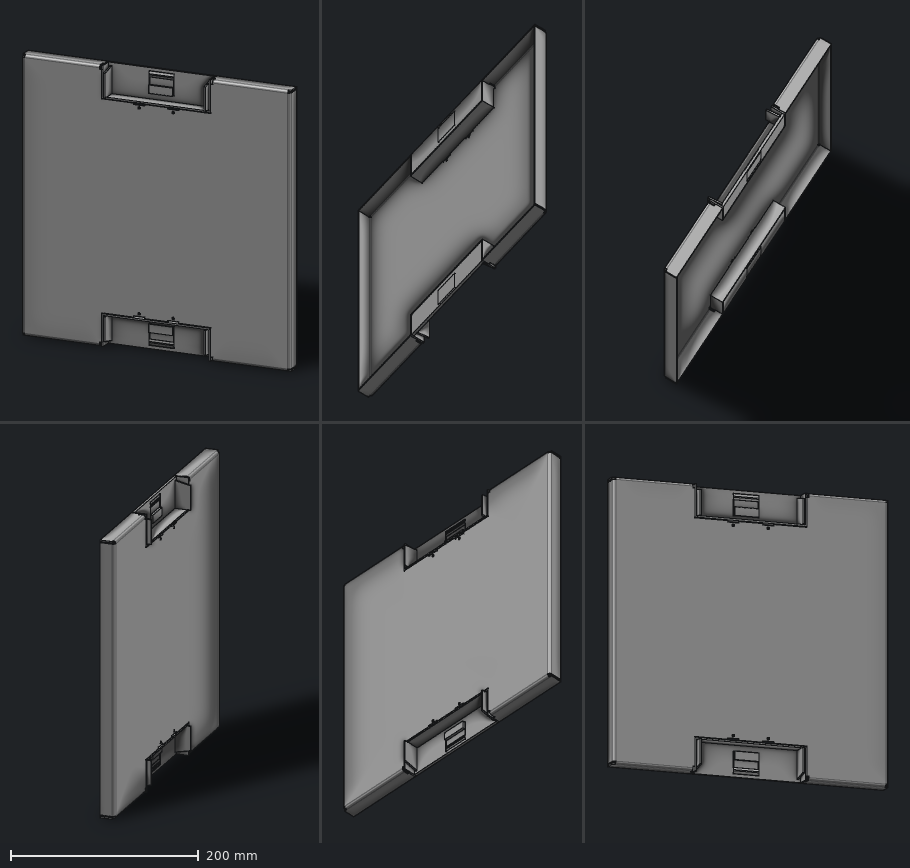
import cadquery as cq

size = 314.0
half = size / 2
depth = 17.0
sheet = 2.0
bend = 2.98

recess_half_width = 63.7
recess_height = 37.5
clearance = 0.5
frame_height = recess_height - clearance
inner_half_width = recess_half_width - sheet
inner_height = frame_height - sheet

relief_width = 2.2
relief_height = 4.7
relief_depth = 8.0

slot_spacing = 40.0
slot_width = 13.0
slot_height = 1.5
hole_diameter = 2.5
hole_offset = 42.0

floor = 3.0
fin_outer = 59.7
fin_thickness = sheet
fin_reach = 21.0
fin_root_offset = 3.5
fin_tip_offset = 7.2

window_width = 29.2
window_start = 3.8
window_end = 28.3
ridge_start = 7.0
ridge_end = 8.2
pad_start = 10.7
grip_start = 18.8
pad_width = 27.5
ramp_drop = 1.5
base_drop = 1.0
pad_drop = 0.5
grip_rise = 2.2


def block(x_range, y_range, z_range):
    """Box between the given limits on each axis."""
    (x0, x1), (y0, y1), (z0, z1) = x_range, y_range, z_range
    return cq.Workplane("XY").box(x1 - x0, y1 - y0, z1 - z0, centered=False).translate((x0, y0, z0))


def extrude_along_x(points, x_start, x_end):
    """Solid from an outline of (y, z) points."""
    return cq.Workplane("YZ", origin=(x_start, 0, 0)).polyline(points).close().extrude(x_end - x_start)


def flip(body):
    """Copy for the bottom edge of a body made for the top edge."""
    return body.mirror("XY")


def make_bent_tray():
    outer = cq.Workplane("XZ").rect(size, size).extrude(depth).faces("<Y").edges().fillet(bend)
    cavity_size = size - 2 * sheet
    cavity = cq.Workplane("XZ").rect(cavity_size, cavity_size).extrude(depth - sheet)
    cavity = cavity.faces("<Y").edges().fillet(bend - sheet)
    return outer.cut(cavity)


def corner_cuts():
    """Square notches in the bends and seams at the ends of the side flanges."""
    bend_start = depth - bend
    cuts = cq.Workplane("XY")
    for x_sign in (-1, 1):
        for z_sign in (-1, 1):
            notch = (
                cq.Workplane("XZ", origin=(0, -bend_start, 0))
                .center(x_sign * (half - bend / 2), z_sign * (half - bend / 2))
                .rect(bend, bend)
                .extrude(bend)
            )
            seam = (
                cq.Workplane("XZ")
                .center(x_sign * (half - bend / 2), z_sign * (half - (sheet + bend) / 2))
                .rect(bend, bend - sheet)
                .extrude(bend_start)
            )
            cuts = cuts.add(notch).add(seam)
    return cuts.combine()


def recess_cuts():
    """Opening, bend reliefs, slots and holes of the top recess."""
    opening = block(
        (-recess_half_width, recess_half_width), (-depth, 0), (half - recess_height, half)
    )
    relief_edge = recess_half_width + relief_width
    reliefs = block((-relief_edge, relief_edge), (-depth, relief_depth - depth), (half - relief_height, half))
    slots = (
        cq.Workplane("XZ", origin=(0, 0, half - recess_height - slot_height / 2))
        .rarray(slot_spacing, 3, 2, 1)
        .rect(slot_width, slot_height)
        .extrude(depth)
    )
    holes = (
        cq.Workplane("XZ", origin=(0, 0, half - hole_offset))
        .rarray(slot_spacing, 3, 2, 1)
        .circle(hole_diameter / 2)
        .extrude(depth)
    )
    return opening.union(reliefs).union(slots).union(holes)


def make_panel():
    top_cuts = recess_cuts()
    return make_bent_tray().cut(corner_cuts()).cut(top_cuts).cut(flip(top_cuts))


def make_frame():
    """Three-sided wall around the recess."""
    outer = block((-recess_half_width, recess_half_width), (-depth, 0), (half - frame_height, half))
    inner = block((-inner_half_width, inner_half_width), (-depth, 0), (half - inner_height, half))
    return outer.cut(inner)


def make_bracket():
    """Floor plate of the recess with the latch window and two fins."""
    base_z = half - inner_height
    plate = block((-inner_half_width, inner_half_width), (-floor, 0), (base_z, half))
    window = block(
        (-window_width / 2, window_width / 2), (-floor, 0), (half - window_end, half - window_start)
    )
    bracket = plate.cut(window)
    fin_outline = [
        (-floor, base_z),
        (-fin_reach, base_z),
        (-fin_reach, half - fin_tip_offset),
        (-floor, half - fin_root_offset),
    ]
    for x_start in (-fin_outer, fin_outer - fin_thickness):
        bracket = bracket.union(extrude_along_x(fin_outline, x_start, x_start + fin_thickness))
    return bracket


def make_latch():
    """Base with a ridge across it, carrying a pad and a grip."""
    base_y = base_drop - floor
    base_outline = [
        (0, half - window_start),
        (ramp_drop - floor, half - window_start),
        (-floor, half - ridge_start),
        (-floor, half - ridge_end),
        (base_y, half - pad_start),
        (base_y, half - window_end),
        (0, half - window_end),
    ]
    base = extrude_along_x(base_outline, -window_width / 2, window_width / 2)
    pad_sides = (-pad_width / 2, pad_width / 2)
    pad = block(pad_sides, (pad_drop - floor, base_y), (half - grip_start, half - pad_start))
    grip = block(pad_sides, (-floor - grip_rise, base_y), (half - window_end, half - grip_start))
    return base.union(pad).union(grip)


panel = make_panel()
bodies = [panel.val()]
for make_body in (make_frame, make_bracket, make_latch):
    top_body = make_body()
    for body in (top_body, flip(top_body)):
        bodies.append(body.val())

result = cq.Compound.makeCompound(bodies)